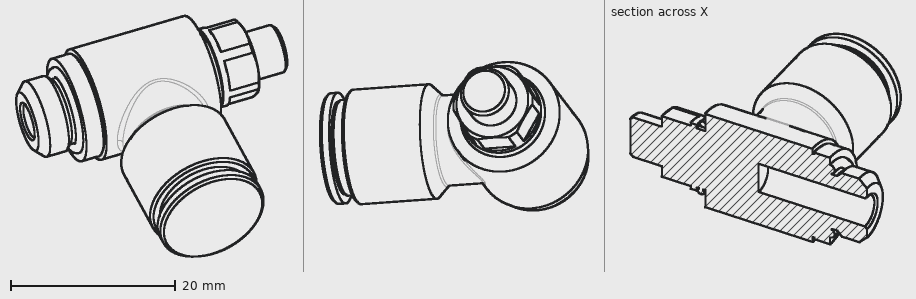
import cadquery as cq
import math


body_radius = 7.0
body_half_length = 7.5

ring_groove_radius = 4.45
collar_start = 8.6
hex_start = 9.5
collar_end = 13.55
collar_radius = 4.95
collar_chamfer_length = 0.3
collar_top_radius = 4.5
hex_across_flats = 9.1
stem_radius = 3.0
stem_end = 17.92
stem_chamfer = 0.4

ring_wire_radius = 0.45
ring_outer_radius = 5.28
ring_station = 8.05
ring_gap = 0.53

port_end = -15.1
spacer_radius = 6.27
flange_radius = 6.5
flange_start = -7.7
flange_end = -9.95
neck_radius = 4.13
neck_end = -10.9
seal_wire_radius = 0.65
thread_radius = 4.8
thread_lead_in = 1.1
thread_back_chamfer = thread_radius - neck_radius

bore_radius = 2.08
bore_chamfer = 0.3
bore_end = 0

branch_offset = -0.05
branch_neck_radius = 5.5
branch_root_fillet = 0.53
cone_start = 9.15
cone_root_fillet = 0.4
sleeve_radius = 7.0
sleeve_end = 20.43
sleeve_chamfer = 0.33
cone_length = sleeve_radius - branch_neck_radius
release_neck_radius = 5.85
release_neck_chamfer = 0.15
release_waist_radius = 5.68
release_neck_end = 21.82
release_flange_start = 22.02
release_flange_radius = 6.77
release_end = 23.25
release_chamfer = 0.33


def turned_about_y(points):
    """Revolve an outline of (radius, station) points about the Y axis."""
    return cq.Workplane("XY").polyline(points).close().revolve(360, (0, 0, 0), (0, 1, 0))


def turned_about_x(points):
    """Revolve an outline of (station, radius) points about the X axis."""
    return cq.Workplane("XY").polyline(points).close().revolve(360, (0, 0, 0), (1, 0, 0))


def wire_ring(outer_radius, wire_radius, station):
    """Ring of round wire about the Y axis."""
    return (
        cq.Workplane("XY")
        .center(outer_radius - wire_radius, station)
        .circle(wire_radius)
        .revolve(360, (wire_radius - outer_radius, 0, 0), (wire_radius - outer_radius, 1, 0))
    )


def body_with_branch():
    """Main cylinder and tube branch, joined by a fillet along their crossing."""
    body = cq.Workplane("XZ").circle(body_radius).extrude(body_half_length, both=True)
    branch = turned_about_x([
        (0, 0),
        (0, branch_neck_radius),
        (cone_start, branch_neck_radius),
        (cone_start + cone_length, sleeve_radius),
        (sleeve_end - sleeve_chamfer, sleeve_radius),
        (sleeve_end, sleeve_radius - sleeve_chamfer),
        (sleeve_end, release_neck_radius),
        (release_neck_end - release_neck_chamfer, release_neck_radius),
        (release_neck_end, release_waist_radius),
        (release_flange_start, release_waist_radius),
        (release_flange_start, release_flange_radius),
        (release_end - release_chamfer, release_flange_radius),
        (release_end, release_flange_radius - release_chamfer),
        (release_end, 0),
    ])
    cone_root = cq.selectors.BoxSelector(
        (cone_start - cone_root_fillet, -sleeve_radius, -sleeve_radius),
        (cone_start + cone_root_fillet, sleeve_radius, sleeve_radius),
    )
    branch = branch.edges(cone_root).fillet(cone_root_fillet).translate((0, branch_offset, 0))
    crossing = cq.selectors.BoxSelector(
        (0, -sleeve_radius, -body_radius),
        (body_radius + branch_root_fillet, sleeve_radius, body_radius),
    )
    return body.union(branch).edges(crossing).fillet(branch_root_fillet)


def adjusting_end():
    """Snap ring groove, hex collar and stem, with the snap ring in its groove."""
    turned = turned_about_y([
        (0, body_half_length),
        (ring_groove_radius, body_half_length),
        (ring_groove_radius, collar_start),
        (collar_radius, collar_start),
        (collar_radius, collar_end - collar_chamfer_length),
        (collar_top_radius, collar_end),
        (stem_radius, collar_end),
        (stem_radius, stem_end - stem_chamfer),
        (stem_radius - stem_chamfer, stem_end),
        (0, stem_end),
    ])
    hex_length = collar_end - hex_start
    around_hex = (
        cq.Workplane("XZ", origin=(0, collar_end, 0))
        .circle(hex_across_flats)
        .polygon(6, hex_across_flats / math.cos(math.pi / 6))
        .extrude(hex_length)
    )
    gap = (
        cq.Workplane("XY", origin=(0, ring_station, 0))
        .rect(ring_gap, collar_start - body_half_length)
        .extrude(ring_outer_radius)
    )
    snap_ring = wire_ring(ring_outer_radius, ring_wire_radius, ring_station).cut(gap)
    return turned.cut(around_hex).union(snap_ring)


def threaded_end():
    """Flange, seal ring and threaded spigot, without the bore."""
    turned = turned_about_y([
        (0, -body_half_length),
        (spacer_radius, -body_half_length),
        (spacer_radius, flange_start),
        (flange_radius, flange_start),
        (flange_radius, flange_end),
        (neck_radius, flange_end),
        (neck_radius, neck_end),
        (thread_radius, neck_end - thread_back_chamfer),
        (thread_radius, port_end + thread_lead_in),
        (thread_radius - thread_lead_in, port_end),
        (0, port_end),
    ])
    seal = wire_ring(neck_radius + 2 * seal_wire_radius, seal_wire_radius, flange_end)
    return turned.union(seal)


def port_bore():
    """Blind bore with a chamfered mouth."""
    return turned_about_y([
        (0, port_end),
        (bore_radius + bore_chamfer, port_end),
        (bore_radius, port_end + bore_chamfer),
        (bore_radius, bore_end),
        (0, bore_end),
    ])


result = (
    body_with_branch()
    .union(adjusting_end())
    .union(threaded_end())
    .cut(port_bore())
)